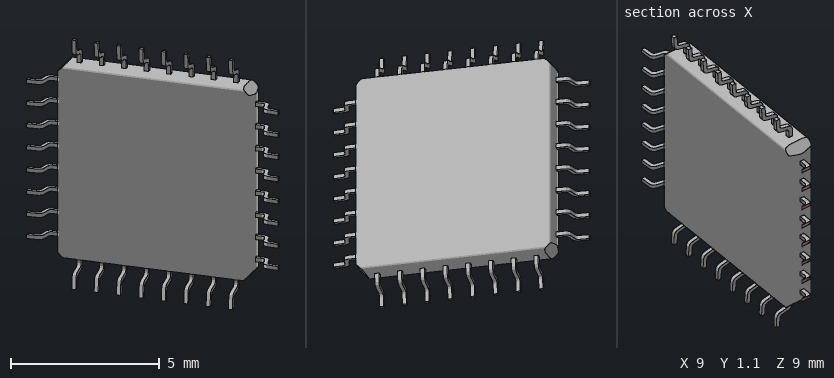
import cadquery as cq
import math


body_span = 7.0
body_thickness = 1.0
standoff = 0.1
draft_angle = 10.0
edge_radius = 0.09
corner_chamfer = 0.32

overall_span = 9.0
lead_thickness = 0.15
lead_width = 0.15
lead_pitch = 0.8
leads_per_side = 8
lead_depth = 0.41
shoulder_reach = 3.9
leg_angle = 12.0
foot_angle = 3.5
inner_bend_radius = 0.12
outer_bend_radius = 0.2
lead_embed = 0.2

x_band_height = lead_thickness
z_band_height = 0.55

half_body = body_span / 2
half_overall = overall_span / 2
half_thickness = lead_thickness / 2
body_bottom = standoff
body_top = standoff + body_thickness
lead_center_height = body_top - lead_depth - half_thickness


def drafted_bar(plane, band_height):
    """Long bar with a band of full width at lead height, drafted walls and rounded edges."""
    band_top = lead_center_height + band_height / 2
    band_bottom = lead_center_height - band_height / 2
    slope = math.tan(math.radians(draft_angle))
    half_top = half_body - (body_top - band_top) * slope
    half_bottom = half_body - (band_bottom - body_bottom) * slope
    outline = [
        (-half_bottom, body_bottom),
        (half_bottom, body_bottom),
        (half_body, band_bottom),
        (half_body, band_top),
        (half_top, body_top),
        (-half_top, body_top),
        (-half_body, band_top),
        (-half_body, band_bottom),
    ]
    bar = cq.Workplane(plane).polyline(outline).close().extrude(half_body, both=True)
    long_axis = "Z" if plane == "XY" else "X"
    large_faces = bar.faces("<Y or >Y")
    return large_faces.edges("|" + long_axis).fillet(edge_radius)


def make_body():
    """Crossing of two drafted bars, cut to a square with flattened corners."""
    side_walls = drafted_bar("XY", x_band_height)
    end_walls = drafted_bar("ZY", z_band_height)
    corner_block = (
        cq.Workplane("XY")
        .box(body_span, 2 * body_top, body_span)
        .edges("|Y")
        .chamfer(corner_chamfer)
    )
    return side_walls.intersect(end_walls).intersect(corner_block)


def make_lead():
    """Gull-wing lead on the +X side, centred on z = 0."""
    leg = math.radians(leg_angle)
    foot = math.radians(foot_angle)
    leg_slope = math.tan(leg)
    foot_slope = math.tan(foot)
    leg_half_width = half_thickness / math.cos(leg)
    foot_half_height = half_thickness / math.cos(foot)
    foot_tip_height = foot_half_height

    def shoulder_corner(side):
        height = lead_center_height + side * half_thickness
        reach = shoulder_reach + side * leg_half_width + (lead_center_height - height) * leg_slope
        return (reach, height)

    def foot_corner(side):
        tip_height = foot_tip_height + side * foot_half_height
        leg_reach = shoulder_reach + side * leg_half_width + lead_center_height * leg_slope
        height_at_leg = tip_height + (half_overall - leg_reach) * foot_slope
        height = height_at_leg / (1 - leg_slope * foot_slope)
        return (leg_reach - height * leg_slope, height)

    upper, lower = 1, -1
    root = half_body - lead_embed
    outline = [
        (root, lead_center_height - half_thickness),
        shoulder_corner(lower),
        foot_corner(lower),
        (half_overall, foot_tip_height - foot_half_height),
        (half_overall, foot_tip_height + foot_half_height),
        foot_corner(upper),
        shoulder_corner(upper),
        (root, lead_center_height + half_thickness),
    ]
    lead = cq.Workplane("XY").polyline(outline).close().extrude(lead_width / 2, both=True)
    bends = [
        (shoulder_corner(upper), outer_bend_radius),
        (shoulder_corner(lower), inner_bend_radius),
        (foot_corner(upper), inner_bend_radius),
        (foot_corner(lower), outer_bend_radius),
    ]
    for (reach, height), radius in bends:
        bend_edge = cq.selectors.NearestToPointSelector((reach, height, 0))
        lead = lead.edges("|Z").edges(bend_edge).fillet(radius)
    return lead


def add_leads(body):
    """Row of leads on each of the four sides."""
    lead = make_lead()
    row_start = -(leads_per_side - 1) * lead_pitch / 2
    for quarter_turn in range(4):
        for index in range(leads_per_side):
            placed = lead.translate((0, 0, row_start + index * lead_pitch))
            body = body.union(placed.rotate((0, 0, 0), (0, 1, 0), 90 * quarter_turn))
    return body


result = add_leads(make_body())